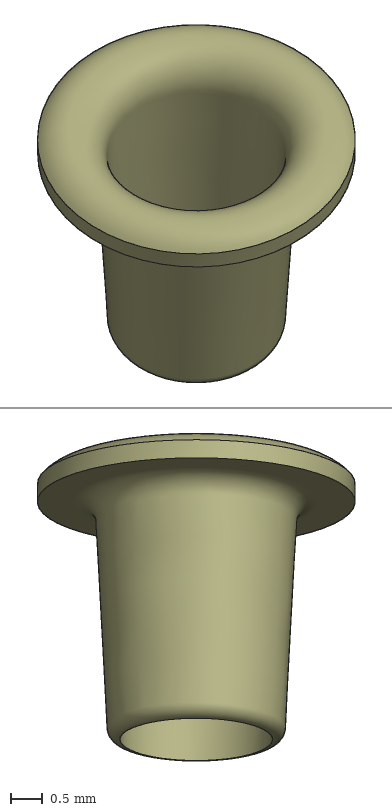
import cadquery as cq
import math

flange_radius = 2.5
height = 4.4

lip_radius = 0.625
flange_underside_drop = 0.51
neck_fillet_radius = 0.335

barrel_top_radius = 1.58
barrel_bottom_radius = 1.405
bore_top_radius = 1.405
bore_bottom_radius = 1.2
bottom_round = 0.2

flange_underside = height - flange_underside_drop
neck_end = flange_underside - neck_fillet_radius
lip_center_z = height - lip_radius
lip_center_r = bore_top_radius + lip_radius

rim_offset = flange_radius - lip_center_r
rim_z = lip_center_z + math.sqrt(lip_radius**2 - rim_offset**2)


def quarter_mid(center_r, center_z, radius, side_r, side_z):
    """Midpoint of a quarter arc in the quadrant given by the two signs."""
    reach = radius * math.sqrt(0.5)
    return (center_r + side_r * reach, center_z + side_z * reach)


neck_center_r = barrel_top_radius + neck_fillet_radius
neck_mid = quarter_mid(neck_center_r, neck_end, neck_fillet_radius, -1, 1)
round_center_r = barrel_bottom_radius - bottom_round
round_mid = quarter_mid(round_center_r, bottom_round, bottom_round, 1, -1)

section = (
    cq.Workplane("XZ")
    .moveTo(bore_bottom_radius, 0)
    .lineTo(round_center_r, 0)
    .threePointArc(round_mid, (barrel_bottom_radius, bottom_round))
    .lineTo(barrel_top_radius, neck_end)
    .threePointArc(neck_mid, (neck_center_r, flange_underside))
    .lineTo(flange_radius, flange_underside)
    .lineTo(flange_radius, rim_z)
    .threePointArc((lip_center_r, height), (bore_top_radius, lip_center_z))
    .close()
)

result = section.revolve(360, (0, 0, 0), (0, 1, 0))